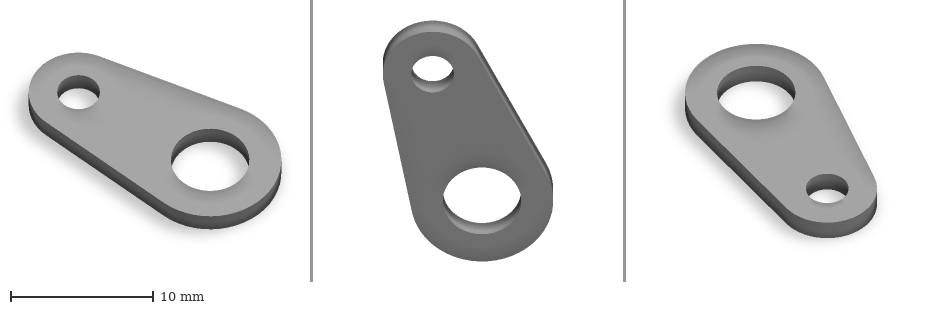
import cadquery as cq
import math

thickness = 1.5
center_distance = 11.0
large_end_radius = 5.0
small_end_radius = 3.5
large_hole_diameter = 5.5
small_hole_diameter = 3.0

large_center_x = 0.0
small_center_x = large_center_x - center_distance

tangent_angle = math.acos((small_end_radius - large_end_radius) / center_distance)


def tangent_point(center_x, radius, side):
    """Point where a straight side meets an end arc; side is +1 (+Y) or -1 (-Y)."""
    return (
        center_x + radius * math.cos(tangent_angle),
        side * radius * math.sin(tangent_angle),
    )


def make_plate():
    """Flat link plate: two end arcs joined by their outer tangent lines."""
    return (
        cq.Workplane("XY")
        .moveTo(*tangent_point(small_center_x, small_end_radius, -1))
        .lineTo(*tangent_point(large_center_x, large_end_radius, -1))
        .threePointArc(
            (large_center_x + large_end_radius, 0),
            tangent_point(large_center_x, large_end_radius, 1),
        )
        .lineTo(*tangent_point(small_center_x, small_end_radius, 1))
        .threePointArc(
            (small_center_x - small_end_radius, 0),
            tangent_point(small_center_x, small_end_radius, -1),
        )
        .close()
        .extrude(thickness)
    )


def cut_through_hole(body, center_x, diameter):
    """Cut a round hole through the full thickness, on the X axis."""
    hole = (
        cq.Workplane("XY")
        .center(center_x, 0)
        .circle(diameter / 2)
        .extrude(thickness)
    )
    return body.cut(hole)


result = make_plate()
result = cut_through_hole(result, large_center_x, large_hole_diameter)
result = cut_through_hole(result, small_center_x, small_hole_diameter)